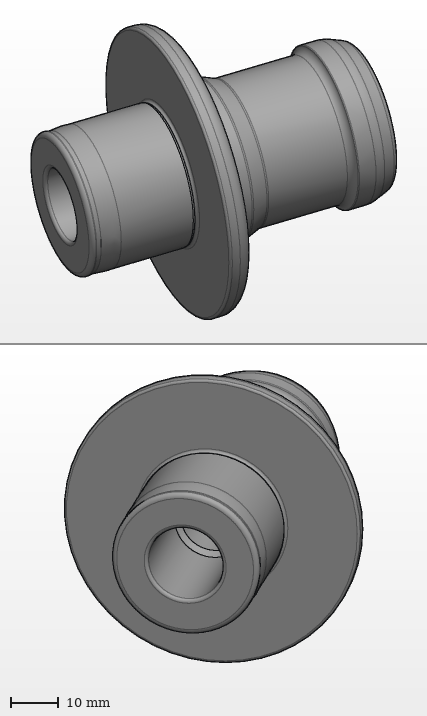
import cadquery as cq
import math

length = 70.8

spigot_radius = 15.9
spigot_lip_round = 1.1
lip_start = 1.3
seat_start = 2.4
seat_radius = 15.7
bulge_end = 6.95
bulge_radius = 16.0

relief_radius = 15.8
relief_fillet = 0.65
relief_length = 0.8
relief_ramp = 0.4

flange_radius = 32.0
flange_front = 24.8
flange_back = 30.3
flange_front_round = 0.6
flange_back_round = 3.1

collar_radius = 18.1
collar_fillet = 2.5
taper_start = 36.4
taper_end = 40.5
taper_blend = 0.2

neck_radius = 16.5
barb_front = 60.75
barb_shoulder_length = 1.85
barb_edge_round = 0.2
barb_cylinder_end = 64.8
barb_taper_start = 67.0
barb_taper_radius = 17.7
barb_nose_start = 69.6
barb_nose_radius = 16.7
barb_face_radius = 15.15

bore_entry_radius = 8.1
bore_exit_radius = 6.95
shoulder_start = flange_front
shoulder_length = bore_entry_radius - bore_exit_radius
bore_entry_round = 0.8

diagonal = math.sqrt(0.5)


def round_to(outline, end, center, radius, bulge_x, bulge_y):
    """Add a quarter arc; bulge_x and bulge_y are signs pointing from its center to its middle."""
    middle = (center[0] + bulge_x * radius * diagonal, center[1] + bulge_y * radius * diagonal)
    return outline.threePointArc(middle, end)


def add_spigot(outline):
    """Lip, seat, bulge, plain cylinder and relief, up to the flange face."""
    relief_center = (relief_radius + relief_fillet, flange_front - relief_fillet)
    outline = outline.lineTo(spigot_radius - spigot_lip_round, 0)
    outline = round_to(
        outline,
        (spigot_radius, spigot_lip_round),
        (spigot_radius - spigot_lip_round, spigot_lip_round),
        spigot_lip_round, 1, -1,
    )
    outline = (
        outline.lineTo(spigot_radius, lip_start)
        .lineTo(seat_radius, seat_start)
        .threePointArc((bulge_radius, (seat_start + bulge_end) / 2), (spigot_radius, bulge_end))
        .lineTo(spigot_radius, flange_front - relief_length - relief_ramp)
        .lineTo(relief_radius, flange_front - relief_length)
        .lineTo(relief_radius, relief_center[1])
    )
    return round_to(outline, (relief_center[0], flange_front), relief_center, relief_fillet, -1, 1)


def add_flange(outline):
    """Flange with a small front round, a large back round and a fillet up to the collar."""
    front_center = (flange_radius - flange_front_round, flange_front + flange_front_round)
    back_center = (flange_radius - flange_back_round, flange_back - flange_back_round)
    collar_center = (collar_radius + collar_fillet, flange_back + collar_fillet)
    outline = outline.lineTo(front_center[0], flange_front)
    outline = round_to(outline, (flange_radius, front_center[1]), front_center, flange_front_round, 1, -1)
    outline = outline.lineTo(flange_radius, back_center[1])
    outline = round_to(outline, (back_center[0], flange_back), back_center, flange_back_round, 1, 1)
    outline = outline.lineTo(collar_center[0], flange_back)
    return round_to(outline, (collar_radius, collar_center[1]), collar_center, collar_fillet, -1, -1)


def add_neck(outline):
    """Collar, blended taper, hose neck and the concave fillet below the barb."""
    taper_angle = math.atan2(collar_radius - neck_radius, taper_end - taper_start)
    blend_radial = taper_blend * math.sin(taper_angle)
    blend_axial = taper_blend * math.cos(taper_angle)
    return (
        outline.lineTo(collar_radius, taper_start - taper_blend)
        .tangentArcPoint((collar_radius - blend_radial, taper_start + blend_axial), relative=False)
        .lineTo(neck_radius + blend_radial, taper_end - blend_axial)
        .tangentArcPoint((neck_radius, taper_end + taper_blend), relative=False)
        .lineTo(neck_radius, barb_front - barb_shoulder_length)
        .tangentArcPoint((collar_radius - barb_edge_round, barb_front), relative=False)
    )


def add_barb(outline):
    """Barb with a cylindrical crest, blended taper and rounded nose, ending at the back face."""
    crest_center = (collar_radius - barb_edge_round, barb_front + barb_edge_round)
    outline = round_to(outline, (collar_radius, crest_center[1]), crest_center, barb_edge_round, 1, -1)
    return (
        outline.lineTo(collar_radius, barb_cylinder_end)
        .tangentArcPoint((barb_taper_radius, barb_taper_start), relative=False)
        .lineTo(barb_nose_radius, barb_nose_start)
        .tangentArcPoint((barb_face_radius, length), relative=False)
    )


def make_profile():
    """Half section in the XY plane, with X as the radius from the Y axis."""
    outline = cq.Workplane("XY").moveTo(bore_entry_radius + bore_entry_round, 0)
    for add_section in (add_spigot, add_flange, add_neck, add_barb):
        outline = add_section(outline)
    outline = (
        outline.lineTo(bore_exit_radius, length)
        .lineTo(bore_exit_radius, shoulder_start + shoulder_length)
        .lineTo(bore_entry_radius, shoulder_start)
        .lineTo(bore_entry_radius, bore_entry_round)
    )
    entry_center = (bore_entry_radius + bore_entry_round, bore_entry_round)
    outline = round_to(outline, (entry_center[0], 0), entry_center, bore_entry_round, -1, -1)
    return outline.close()


result = make_profile().revolve(360, (0, 0, 0), (0, 1, 0))